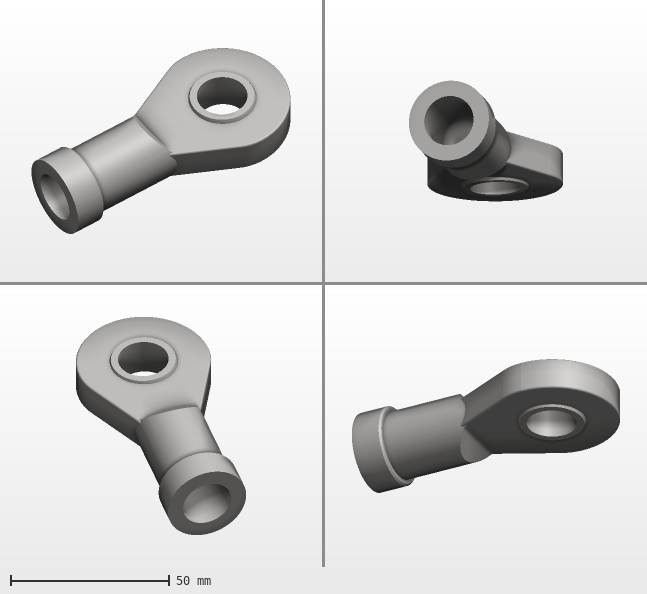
import cadquery as cq
import math

eye_radius = 21.5
eye_thickness = 10.6
shoulder_radius = 16.3
flank_angle = math.radians(26)
plate_end_y = -28.4
plate_edge_fillet = 0.7

shank_radius = 11.1
shank_end_y = -64.5
collar_radius = 13.0
collar_length = 10.15
collar_edge_chamfer = 0.6
taper_start_y = -31.05
taper_angle = math.radians(50)
taper_fillet = 2.3

bore_radius = 8.0
bore_depth = 30.1
bore_end_fillet = 3.4

insert_sphere_radius = 12.0
insert_height = 12.55
insert_bore_radius = 8.0
insert_tilt = -1.5


def shoulder_point(angle):
    """Point on the +X shoulder arc, measured from +X towards -Y."""
    centre_x = eye_radius - shoulder_radius
    return (centre_x + shoulder_radius * math.cos(angle), -shoulder_radius * math.sin(angle))


def mirrored(point):
    return (-point[0], point[1])


def make_plate():
    shoulder_middle = shoulder_point(flank_angle / 2)
    shoulder_end = shoulder_point(flank_angle)
    flank_end = (
        shoulder_end[0] - (shoulder_end[1] - plate_end_y) * math.tan(flank_angle),
        plate_end_y,
    )

    return (
        cq.Workplane("XY")
        .moveTo(-eye_radius, 0)
        .threePointArc((0, eye_radius), (eye_radius, 0))
        .threePointArc(shoulder_middle, shoulder_end)
        .lineTo(*flank_end)
        .lineTo(*mirrored(flank_end))
        .lineTo(*mirrored(shoulder_end))
        .threePointArc(mirrored(shoulder_middle), (-eye_radius, 0))
        .close()
        .extrude(eye_thickness / 2, both=True)
        .faces("|Z")
        .edges("not(<Y)")
        .fillet(plate_edge_fillet)
    )


def make_shank():
    """Round shank with two flat tapers that meet in a wedge inside the plate."""
    taper_end_y = taper_start_y + shank_radius / math.tan(taper_angle)
    profile = (
        cq.Workplane("YZ")
        .moveTo(shank_end_y, -shank_radius)
        .lineTo(taper_start_y, -shank_radius)
        .lineTo(taper_end_y, 0)
        .lineTo(taper_start_y, shank_radius)
        .lineTo(shank_end_y, shank_radius)
        .close()
        .extrude(shank_radius, both=True)
    )
    cylinder = (
        cq.Workplane("XZ", origin=(0, shank_end_y, 0))
        .circle(shank_radius)
        .extrude(shank_end_y - taper_end_y)
    )
    return cylinder.intersect(profile)


def make_collar():
    return (
        cq.Workplane("XZ", origin=(0, shank_end_y, 0))
        .circle(collar_radius)
        .extrude(-collar_length)
        .faces(">Y")
        .chamfer(collar_edge_chamfer)
    )


def make_bore():
    return (
        cq.Workplane("XZ", origin=(0, shank_end_y, 0))
        .circle(bore_radius)
        .extrude(-bore_depth)
        .faces(">Y")
        .edges()
        .fillet(bore_end_fillet)
    )


def fillet_tapers(body):
    """Round the two straight edges where the shank tapers meet the plate faces."""
    half_plate = eye_thickness / 2
    taper_meets_plate_y = taper_start_y + (shank_radius - half_plate) / math.tan(taper_angle)
    taper_edges = [
        body.edges(cq.selectors.NearestToPointSelector((0, taper_meets_plate_y, z))).val()
        for z in (-half_plate, half_plate)
    ]
    return body.newObject(taper_edges).fillet(taper_fillet)


def make_housing():
    blank = fillet_tapers(make_plate().union(make_shank())).union(make_collar())
    spherical_seat = cq.Workplane("XY").sphere(insert_sphere_radius)
    return blank.cut(make_bore()).cut(spherical_seat)


def make_insert():
    slab = cq.Workplane("XY").circle(2 * insert_sphere_radius).extrude(insert_height / 2, both=True)
    bore = cq.Workplane("XY").circle(insert_bore_radius).extrude(insert_height / 2, both=True)
    insert = cq.Workplane("XY").sphere(insert_sphere_radius).intersect(slab).cut(bore)
    return insert.rotate((0, 0, 0), (0, 1, 0), insert_tilt)


housing = make_housing().solids()
bearing_insert = make_insert().solids()

result = cq.Compound.makeCompound([housing.val(), bearing_insert.val()])